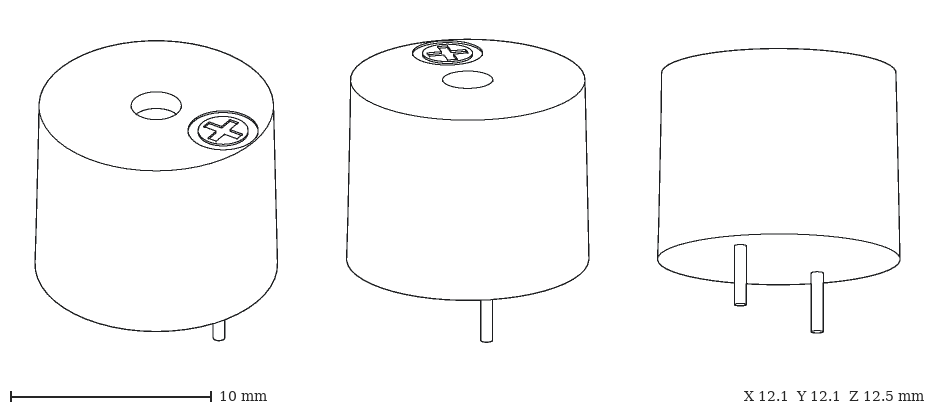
import cadquery as cq

base_diameter = 12.1
top_diameter = 11.7
body_height = 9.5

sound_hole_diameter = 2.5
sound_hole_depth = 1.0

mark_offset = 4.0
ring_outer_diameter = 3.5
ring_inner_diameter = 2.5
plus_length = 2.0
plus_width = 0.5
mark_depth = 0.1

pin_diameter = 0.6
pin_spacing = 7.5
pin_length = 3.0


def make_housing():
    """Solid truncated cone, slightly narrower at the top."""
    return cq.Workplane("XY").add(
        cq.Solid.makeCone(base_diameter / 2, top_diameter / 2, body_height)
    )


def make_sound_hole():
    """Blind hole cutter reaching down from the top face."""
    return (
        cq.Workplane("XY", origin=(0, 0, body_height))
        .circle(sound_hole_diameter / 2)
        .extrude(-sound_hole_depth)
    )


def make_polarity_mark():
    """Shallow cutter for the ring groove and the plus sign inside it."""
    top_plane = cq.Workplane("XY", origin=(mark_offset, 0, body_height))
    ring = (
        top_plane.circle(ring_outer_diameter / 2)
        .circle(ring_inner_diameter / 2)
        .extrude(-mark_depth)
    )
    bar_along_x = top_plane.rect(plus_length, plus_width).extrude(-mark_depth)
    bar_along_y = top_plane.rect(plus_width, plus_length).extrude(-mark_depth)
    return ring.add(bar_along_x.union(bar_along_y)).combine()


def make_pins():
    """Pair of pins along X, hanging from the underside."""
    return (
        cq.Workplane("XY")
        .pushPoints([(-pin_spacing / 2, 0), (pin_spacing / 2, 0)])
        .circle(pin_diameter / 2)
        .extrude(-pin_length)
    )


result = (
    make_housing()
    .union(make_pins())
    .cut(make_sound_hole())
    .cut(make_polarity_mark())
)